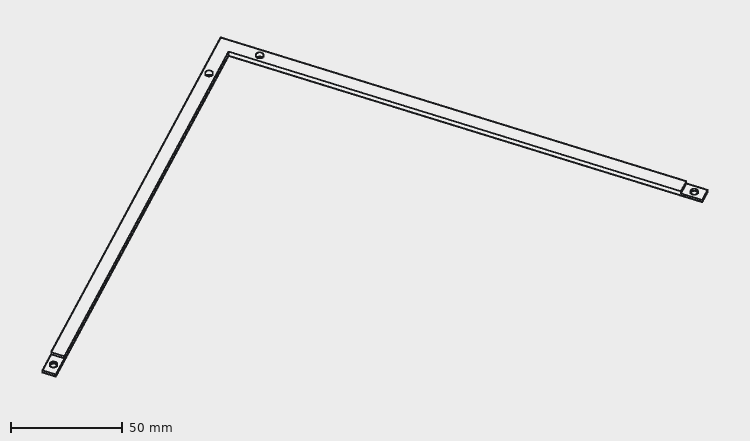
import cadquery as cq

length_x = 236.8
length_y = 212.5
thickness = 3.0

bar_width = 6.5
lap_length = 10.3
lap_thickness = thickness / 2

hole_diameter = 3.5
end_hole_inset = lap_length / 2
corner_hole_x = 20.3
corner_hole_y = 21.8



def make_frame():
    """Solid L of constant bar width and full thickness."""
    outline = [
        (0, 0),
        (length_x, 0),
        (length_x, -bar_width),
        (bar_width, -bar_width),
        (bar_width, -length_y),
        (0, -length_y),
    ]
    return cq.Workplane("XY").polyline(outline).close().extrude(thickness)


def make_lap_cut(size_x, size_y, corner_x, corner_y):
    """Block that removes the upper part of an arm end, given its minimum corner."""
    return (
        cq.Workplane("XY")
        .box(size_x, size_y, thickness - lap_thickness, centered=False)
        .translate((corner_x, corner_y, lap_thickness))
    )


def make_holes():
    """Two through holes per arm: one near the outer corner, one in the lap."""
    centre = bar_width / 2
    hole_points = [
        (corner_hole_x, -centre),
        (length_x - end_hole_inset, -centre),
        (centre, -corner_hole_y),
        (centre, -(length_y - end_hole_inset)),
    ]
    return cq.Workplane("XY").pushPoints(hole_points).circle(hole_diameter / 2).extrude(thickness)


x_arm_lap = make_lap_cut(lap_length, bar_width, length_x - lap_length, -bar_width)
y_arm_lap = make_lap_cut(bar_width, lap_length, 0, -length_y)

result = make_frame().cut(x_arm_lap).cut(y_arm_lap).cut(make_holes())